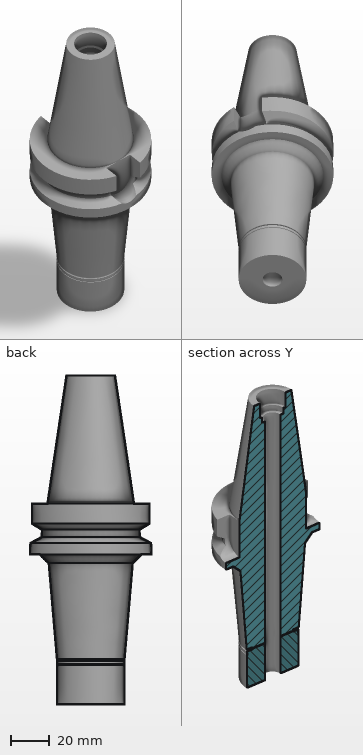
import cadquery as cq

TOTAL_HEIGHT = 170.4
GAUGE_HEIGHT = 105.0
FLANGE_TOP = 104.0
FLANGE_BOTTOM = 77.7
NECK_CONE_TOP = 73.1
SHANK_BOTTOM = 23.3
NUT_TOP = 22.5

TAPER_TOP_RADIUS = 12.6
TAPER_BASE_RADIUS = 22.3
FLANGE_RADIUS = 31.5
SHANK_TOP_RADIUS = 21.8
SHANK_BOTTOM_RADIUS = 17.5
SPIGOT_RADIUS = 13.8

GROOVE_RADIUS = 26.5
GROOVE_UPPER_EDGE = 93.7
GROOVE_FLOOR_TOP = 90.5
GROOVE_FLOOR_BOTTOM = 86.5
GROOVE_LOWER_EDGE = 83.5

SLOT_WIDTH = 16.0
SLOT_FLOOR_OFFSET = 22.3
SLOT_BOTTOM = 82.0

BORE_RADIUS = 5.1
SOCKET_RADIUS = 8.5
SOCKET_DEPTH = 8.9
STEP_RADIUS = 7.0
STEP_DEPTH = 3.4

NUT_RADIUS = 17.5
NUT_GROOVE_RADIUS = 17.2
NUT_GROOVE_TOP = 21.0
NUT_GROOVE_BOTTOM = 20.3


def revolve_profile(points):
    """Revolve (radius, height) points around the Z axis."""
    return cq.Workplane("XZ").polyline(points).close().revolve(360, (0, 0, 0), (0, 1, 0))


def make_drive_slot(side):
    """Round-ended slot cutter, open at the flange top; side is -1 or +1 along X."""
    slot_radius = SLOT_WIDTH / 2
    arc_center = SLOT_BOTTOM + slot_radius
    cutter = (
        cq.Workplane("YZ", origin=(side * SLOT_FLOOR_OFFSET, 0, 0))
        .moveTo(-slot_radius, FLANGE_TOP)
        .lineTo(-slot_radius, arc_center)
        .threePointArc((0, SLOT_BOTTOM), (slot_radius, arc_center))
        .lineTo(slot_radius, FLANGE_TOP)
        .close()
        .extrude(side * FLANGE_RADIUS)
    )
    return cutter


def make_holder():
    """Taper, grooved flange, conical shank and spigot with a stepped through bore."""
    socket_floor = TOTAL_HEIGHT - SOCKET_DEPTH
    step_floor = socket_floor - STEP_DEPTH
    neck_radius = SHANK_TOP_RADIUS + FLANGE_BOTTOM - NECK_CONE_TOP
    holder = revolve_profile([
        (BORE_RADIUS, NUT_TOP),
        (SPIGOT_RADIUS, NUT_TOP),
        (SPIGOT_RADIUS, SHANK_BOTTOM),
        (SHANK_BOTTOM_RADIUS, SHANK_BOTTOM),
        (SHANK_TOP_RADIUS, NECK_CONE_TOP),
        (neck_radius, FLANGE_BOTTOM),
        (FLANGE_RADIUS, FLANGE_BOTTOM),
        (FLANGE_RADIUS, GROOVE_LOWER_EDGE),
        (GROOVE_RADIUS, GROOVE_FLOOR_BOTTOM),
        (GROOVE_RADIUS, GROOVE_FLOOR_TOP),
        (FLANGE_RADIUS, GROOVE_UPPER_EDGE),
        (FLANGE_RADIUS, FLANGE_TOP),
        (TAPER_BASE_RADIUS, FLANGE_TOP),
        (TAPER_BASE_RADIUS, GAUGE_HEIGHT),
        (TAPER_TOP_RADIUS, TOTAL_HEIGHT),
        (SOCKET_RADIUS, TOTAL_HEIGHT),
        (SOCKET_RADIUS, socket_floor),
        (STEP_RADIUS, socket_floor),
        (STEP_RADIUS, step_floor),
        (BORE_RADIUS, step_floor),
    ])
    for side in (-1, 1):
        holder = holder.cut(make_drive_slot(side))
    return holder


def make_nut():
    """Cylindrical nut with a fine groove near its top and a through bore."""
    return revolve_profile([
        (BORE_RADIUS, 0),
        (NUT_RADIUS, 0),
        (NUT_RADIUS, NUT_GROOVE_BOTTOM),
        (NUT_GROOVE_RADIUS, NUT_GROOVE_BOTTOM),
        (NUT_GROOVE_RADIUS, NUT_GROOVE_TOP),
        (NUT_RADIUS, NUT_GROOVE_TOP),
        (NUT_RADIUS, NUT_TOP),
        (BORE_RADIUS, NUT_TOP),
    ])


holder = make_holder()
nut = make_nut()
result = cq.Compound.makeCompound([holder.val(), nut.val()])